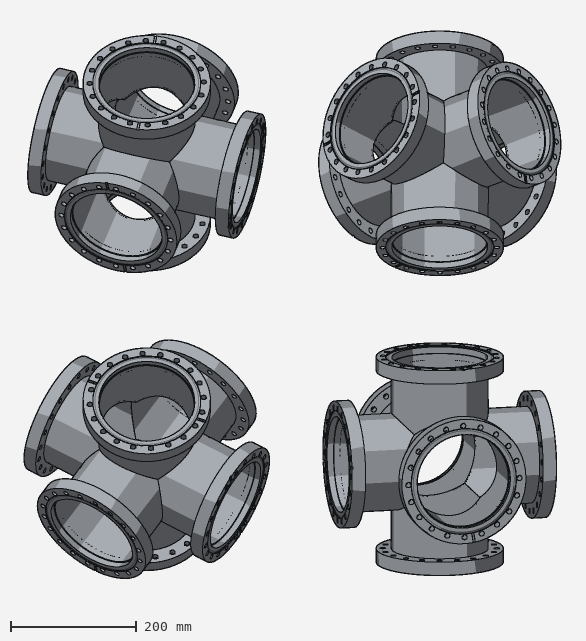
import cadquery as cq

OVERALL = 333.5
TUBE_OD = 154.0
TUBE_ID = 150.0
FLANGE_OD = 202.5
FLANGE_THICKNESS = 22.0
FLANGE_BORE = 152.0
BOLT_CIRCLE = 181.0
BOLT_HOLE = 8.5
BOLT_COUNT = 20
RECESS_OD = 171.5
RECESS_DEPTH = 2.0
KNIFE_OD = 165.0
KNIFE_DROP = 1.0
LEAK_GROOVE_WIDTH = 3.5
LEAK_GROOVE_DEPTH = 1.5
SOCKET_FLOOR = 11.7
SLIGHT_TURN = 0.7

FACE = OVERALL / 2
BACK = FACE - FLANGE_THICKNESS
TUBE_END = FACE - SOCKET_FLOOR
BOLT_PITCH = 360 / BOLT_COUNT
QUARTER_PITCH_TURN = -BOLT_PITCH / 4
TOP_ANGLE = 90
BOTTOM_ANGLE = 270

FIXED_PORTS = [
    ((0, 0, 1), (1, 0, 0)),
    ((0, -1, 0), (1, 0, 0)),
    ((1, 0, 0), (0, 0, -1)),
]
ROTATABLE_PORTS = [
    ((0, 0, -1), (-1, 0, 0), QUARTER_PITCH_TURN),
    ((-1, 0, 0), (0, -1, 0), QUARTER_PITCH_TURN),
    ((0, 1, 0), (-1, 0, 0), SLIGHT_TURN),
]


def cylinder(diameter, bottom, top):
    """Solid cylinder on the local z axis between two heights."""
    return cq.Workplane("XY").workplane(offset=bottom).circle(diameter / 2).extrude(top - bottom)


def place(body, normal, x_direction):
    """Turn a body built along +z so that it points along the port normal."""
    return body.solids().val().moved(cq.Location(cq.Plane((0, 0, 0), x_direction, normal)))


def make_tube_cross():
    """Six-way tube: three crossing tubes with their bores open to each other."""
    cross = None
    bores = None
    for plane in ("XY", "YZ", "XZ"):
        outer = cq.Workplane(plane).circle(TUBE_OD / 2).extrude(TUBE_END, both=True)
        bore = cq.Workplane(plane).circle(TUBE_ID / 2).extrude(TUBE_END, both=True)
        cross = outer if cross is None else cross.union(outer)
        bores = bore if bores is None else bores.union(bore)
    return cross.cut(bores)


def cut_bolt_holes(body):
    """Ring of through holes, the first one on local x."""
    holes = (
        cq.Workplane("XY").workplane(offset=BACK)
        .polarArray(BOLT_CIRCLE / 2, 0, 360, BOLT_COUNT)
        .circle(BOLT_HOLE / 2)
        .extrude(FLANGE_THICKNESS)
    )
    return body.cut(holes)


def cut_leak_groove(body, side_angle):
    """Shallow radial groove midway between two bolts, from the recess out to the rim."""
    inner_radius = KNIFE_OD / 2
    length = FLANGE_OD / 2 - inner_radius
    groove = (
        cq.Workplane("XY")
        .box(length, LEAK_GROOVE_WIDTH, LEAK_GROOVE_DEPTH, centered=(False, True, False))
        .translate((inner_radius, 0, FACE - LEAK_GROOVE_DEPTH))
        .rotate((0, 0, 0), (0, 0, 1), side_angle + BOLT_PITCH / 2)
    )
    return body.cut(groove)


def make_sealing_ring():
    """Inner ring with the sealing edge; its outer face slopes down to the recess wall."""
    bore_radius = FLANGE_BORE / 2
    return (
        cq.Workplane("XZ")
        .moveTo(bore_radius, TUBE_END)
        .lineTo(RECESS_OD / 2, TUBE_END)
        .lineTo(RECESS_OD / 2, FACE - RECESS_DEPTH)
        .lineTo(KNIFE_OD / 2, FACE - KNIFE_DROP)
        .lineTo(bore_radius, FACE - KNIFE_DROP)
        .close()
        .revolve(360, (0, 0, 0), (0, 1, 0))
    )


def make_bolt_ring():
    """Outer ring: seat for the sealing ring in front, opening for the tube behind."""
    ring = cylinder(FLANGE_OD, BACK, FACE)
    ring = ring.cut(cylinder(RECESS_OD, TUBE_END, FACE))
    ring = ring.cut(cylinder(TUBE_OD, BACK, TUBE_END))
    ring = cut_bolt_holes(ring)
    return cut_leak_groove(ring, BOTTOM_ANGLE)


def make_fixed_flange():
    """One-piece flange: bolt ring and sealing ring in one body, two leak grooves."""
    flange = make_bolt_ring()
    flange = cut_leak_groove(flange, TOP_ANGLE)
    return flange.union(make_sealing_ring())


tube_cross = make_tube_cross()

fixed_flanges = [
    place(make_fixed_flange(), normal, x_direction)
    for normal, x_direction in FIXED_PORTS
]

sealing_rings = []
bolt_rings = []
for normal, x_direction, turn in ROTATABLE_PORTS:
    turned_ring = make_bolt_ring().rotate((0, 0, 0), (0, 0, 1), turn)
    sealing_rings.append(place(make_sealing_ring(), normal, x_direction))
    bolt_rings.append(place(turned_ring, normal, x_direction))

result = cq.Compound.makeCompound(
    [tube_cross.solids().val(), *fixed_flanges, *sealing_rings, *bolt_rings]
)